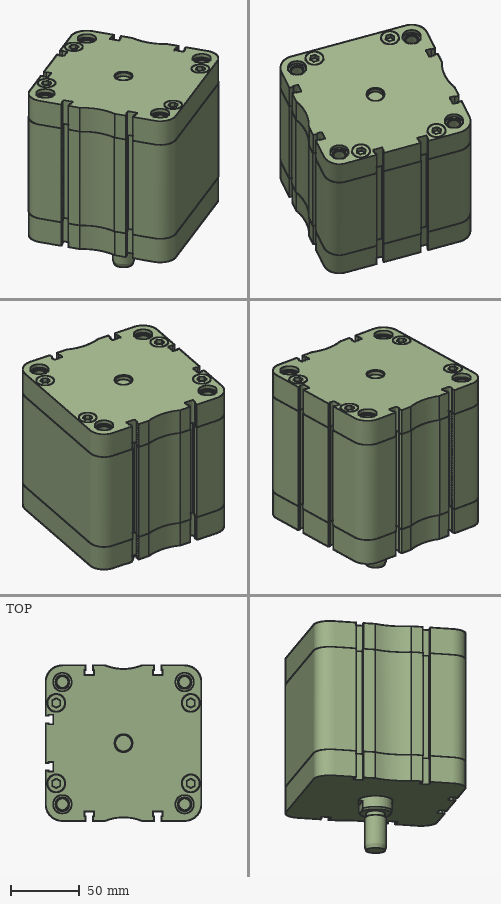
import cadquery as cq
import math


OVERALL_LENGTH = 155.0
SIDE = 113.5
HALF_SIDE = SIDE / 2
HOUSING_HEIGHT = 117.2
CAP_HEIGHT = 19.7
BARREL_HEIGHT = HOUSING_HEIGHT - 2 * CAP_HEIGHT
CAP_INSET = 0.2
MOUNT_HOLE_OFFSET = 44.5
CORNER_RADIUS = HALF_SIDE - MOUNT_HOLE_OFFSET

HOLLOW_WIDTH = 27.0
HOLLOW_DEPTH = 2.6

THROAT_WIDTH = 5.3
HEAD_WIDTH = 6.7
Y_SIDE_SLOT_OFFSET = 25.0
Y_SIDE_SLOT_DEPTH = 7.0
Y_SIDE_THROAT_DEPTH = 3.5
X_SIDE_SLOT_OFFSET = 17.2
X_SIDE_SLOT_DEPTH = 5.6
X_SIDE_THROAT_DEPTH = 2.2

MOUNT_COUNTERBORE_DIAMETER = 13.5
MOUNT_COUNTERBORE_DEPTH = 3.0
MOUNT_CHAMFER_DIAMETER = 10.0
MOUNT_HOLE_DIAMETER = 8.5
MOUNT_CHAMFER = (MOUNT_CHAMFER_DIAMETER - MOUNT_HOLE_DIAMETER) / 2

CENTRE_RIM_DIAMETER = 13.2
CENTRE_HOLE_DIAMETER = 12.0
CENTRE_HOLE_DEPTH = 3.5
CENTRE_CHAMFER = (CENTRE_RIM_DIAMETER - CENTRE_HOLE_DIAMETER) / 2

SCREW_X = 49.0
SCREW_Y = 29.3
SCREW_RECESS_DIAMETER = 13.2
SCREW_HEAD_DIAMETER = 12.7
SCREW_HEAD_HEIGHT = 8.0
SOCKET_ACROSS_FLATS = 6.0
SOCKET_DEPTH = 3.5

ROD_DIAMETER = 25.0
ROD_REACH = 9.8
ROD_CHAMFER_WIDTH = 1.0
ROD_CHAMFER_HEIGHT = 1.5
FLAT_DISTANCE = 22.0
FLAT_START = 2.6
NECK_DIAMETER = 14.0
THREAD_START = 13.2
THREAD_DIAMETER = 16.0
THREAD_LEAD_IN = 0.5
THREAD_END = OVERALL_LENGTH - HOUSING_HEIGHT
THREAD_TIP_HEIGHT = 3.3


def t_slot(throat_depth, slot_depth, height):
    """T-slot cutter that opens toward +Y, with its mouth at Y = 0."""
    throat = cq.Workplane("XY").rect(THROAT_WIDTH, 2 * throat_depth).extrude(height)
    head_depth = slot_depth - throat_depth
    head = (
        cq.Workplane("XY")
        .center(0, -throat_depth - head_depth / 2)
        .rect(HEAD_WIDTH, head_depth)
        .extrude(height)
    )
    return throat.union(head)


def hollow(height):
    """Cutter for the shallow round hollow in the +Y side."""
    half_width = HOLLOW_WIDTH / 2
    return (
        cq.Workplane("XY")
        .moveTo(-half_width, HALF_SIDE)
        .threePointArc((0, HALF_SIDE - HOLLOW_DEPTH), (half_width, HALF_SIDE))
        .close()
        .extrude(height)
    )


def profile_block(height):
    """Housing profile: rounded square, a hollow in each Y side, T-slots in three sides."""
    block = cq.Workplane("XY").rect(SIDE, SIDE).extrude(height).edges("|Z").fillet(CORNER_RADIUS)

    y_slot = t_slot(Y_SIDE_THROAT_DEPTH, Y_SIDE_SLOT_DEPTH, height)
    for x in (-Y_SIDE_SLOT_OFFSET, Y_SIDE_SLOT_OFFSET):
        back_slot = y_slot.translate((x, HALF_SIDE, 0))
        block = block.cut(back_slot).cut(back_slot.mirror("XZ"))

    x_slot = t_slot(X_SIDE_THROAT_DEPTH, X_SIDE_SLOT_DEPTH, height).rotate((0, 0, 0), (0, 0, 1), 90)
    for y in (-X_SIDE_SLOT_OFFSET, X_SIDE_SLOT_OFFSET):
        block = block.cut(x_slot.translate((-HALF_SIDE, y, 0)))

    back_hollow = hollow(height)
    return block.cut(back_hollow).cut(back_hollow.mirror("XZ"))


def cap_blank():
    """Plain cap: the housing profile, drawn in by the cap inset."""
    outline = profile_block(CAP_HEIGHT).faces("<Z").wires().vals()[0]
    return cq.Workplane("XY").add(outline).toPending().offset2D(-CAP_INSET).extrude(CAP_HEIGHT)


def drill(diameter, depth, top):
    """Round cutter that goes down from height `top`."""
    return cq.Workplane("XY").workplane(offset=top - depth).circle(diameter / 2).extrude(depth)


def countersink(diameter, depth, top):
    """45-degree cone cutter, widest at height `top`."""
    radius = diameter / 2
    base = cq.Vector(0, 0, top - depth)
    return cq.Workplane(cq.Solid.makeCone(radius - depth, radius, depth, pnt=base))


def mounting_hole():
    seat = CAP_HEIGHT - MOUNT_COUNTERBORE_DEPTH
    counterbore = drill(MOUNT_COUNTERBORE_DIAMETER, MOUNT_COUNTERBORE_DEPTH, CAP_HEIGHT)
    chamfer = countersink(MOUNT_CHAMFER_DIAMETER, MOUNT_CHAMFER, seat)
    return drill(MOUNT_HOLE_DIAMETER, CAP_HEIGHT, CAP_HEIGHT).union(chamfer).union(counterbore)


def centring_hole():
    chamfer = countersink(CENTRE_RIM_DIAMETER, CENTRE_CHAMFER, CAP_HEIGHT)
    return drill(CENTRE_HOLE_DIAMETER, CENTRE_HOLE_DEPTH, CAP_HEIGHT).union(chamfer)


def screw_recess():
    """Ring gap around a screw head, with the hexagon socket in its middle."""
    ring = drill(SCREW_RECESS_DIAMETER, SCREW_HEAD_HEIGHT, CAP_HEIGHT)
    ring = ring.cut(drill(SCREW_HEAD_DIAMETER, SCREW_HEAD_HEIGHT, CAP_HEIGHT))
    across_corners = SOCKET_ACROSS_FLATS / math.cos(math.pi / 6)
    socket = (
        cq.Workplane("XY")
        .workplane(offset=CAP_HEIGHT - SOCKET_DEPTH)
        .transformed(rotate=(0, 0, 90))
        .polygon(6, across_corners)
        .extrude(SOCKET_DEPTH)
    )
    return ring.union(socket)


def make_end_cap():
    cap = cap_blank().cut(centring_hole())
    for side_x in (-1, 1):
        for side_y in (-1, 1):
            cap = cap.cut(
                mounting_hole().translate((side_x * MOUNT_HOLE_OFFSET, side_y * MOUNT_HOLE_OFFSET, 0))
            )
            cap = cap.cut(screw_recess().translate((side_x * SCREW_X, side_y * SCREW_Y, 0)))
    return cap.translate((0, 0, HOUSING_HEIGHT - CAP_HEIGHT))


def make_barrel():
    return profile_block(BARREL_HEIGHT).translate((0, 0, CAP_HEIGHT))


def make_rod_cap():
    return cap_blank().cut(drill(ROD_DIAMETER, CAP_HEIGHT, CAP_HEIGHT))


def make_piston_rod():
    """Rod with a necked thread at its end; it starts at the barrel and passes through its cap."""
    rod_radius = ROD_DIAMETER / 2
    neck_radius = NECK_DIAMETER / 2
    thread_radius = THREAD_DIAMETER / 2
    rod = (
        cq.Workplane("XZ")
        .moveTo(0, CAP_HEIGHT)
        .lineTo(rod_radius, CAP_HEIGHT)
        .lineTo(rod_radius, ROD_CHAMFER_HEIGHT - ROD_REACH)
        .lineTo(rod_radius - ROD_CHAMFER_WIDTH, -ROD_REACH)
        .lineTo(neck_radius, -ROD_REACH)
        .lineTo(neck_radius, THREAD_LEAD_IN - THREAD_START)
        .lineTo(thread_radius, -THREAD_START)
        .lineTo(thread_radius, THREAD_TIP_HEIGHT - THREAD_END)
        .lineTo(neck_radius, -THREAD_END)
        .lineTo(0, -THREAD_END)
        .close()
        .revolve(360, (0, 0, 0), (0, 1, 0))
    )
    right_flat = wrench_flat()
    return rod.cut(right_flat).cut(right_flat.mirror("YZ"))


def wrench_flat():
    """Cutter for the +X wrench flat, with a 45-degree run-out at its upper end."""
    flat_x = FLAT_DISTANCE / 2
    outer_x = ROD_DIAMETER / 2
    return (
        cq.Workplane("XZ")
        .moveTo(flat_x, -ROD_REACH)
        .lineTo(flat_x, -FLAT_START)
        .lineTo(outer_x, outer_x - flat_x - FLAT_START)
        .lineTo(outer_x, -ROD_REACH)
        .close()
        .extrude(outer_x, both=True)
    )


end_cap = make_end_cap()
barrel = make_barrel()
rod_cap = make_rod_cap()
piston_rod = make_piston_rod()

result = cq.Compound.makeCompound([end_cap.val(), barrel.val(), rod_cap.val(), piston_rod.val()])